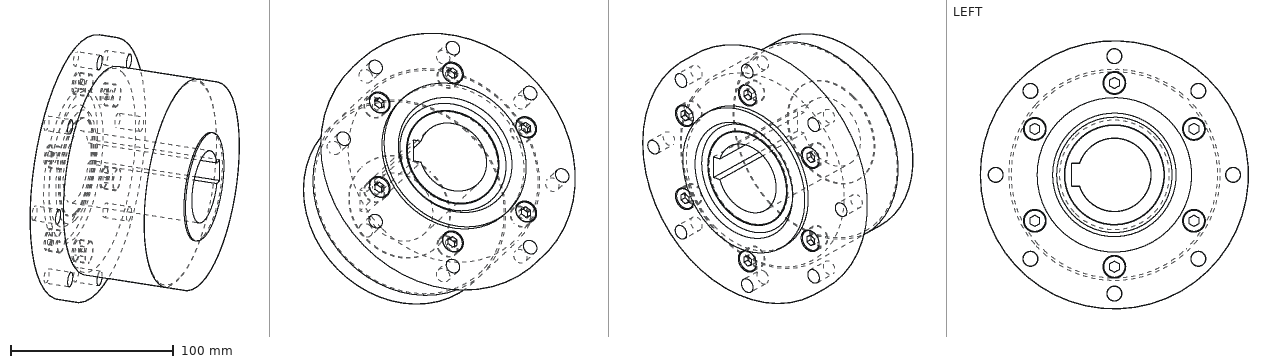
import cadquery as cq
import math

overall_length = 88.0
flange_front = 3.5
flange_back = 19.0
joint_plane = 72.0
body_back = 87.0

pilot_diameter = 95.0
flange_diameter = 165.0
body_diameter = 130.0
rear_collar_diameter = 67.5

flange_fillet = 2.0
body_fillet = 1.5

recess_mouth_diameter = 76.0
recess_floor_diameter = 71.0
recess_depth = 3.5

race_diameter = 61.0
race_clearance = 0.3
race_groove_depth = 1.0

bore_diameter = 45.0
keyway_width = 14.0
keyway_height = 48.8

mounting_hole_count = 8
mounting_hole_diameter = 9.0
mounting_circle_diameter = 146.0

screw_count = 6
screw_circle_diameter = 113.0
counterbore_diameter = 14.0
screw_head_diameter = 13.0
screw_head_height = 8.0
screw_head_recess = 0.6
socket_across_flats = 6.0
socket_sides = 6
socket_depth = 4.0


def extend_rounded_ring(profile, x_start, x_end, diameter, fillet_radius):
    """Continue a half profile of (station, radius) points over a ring with both rims rounded.

    The profile must already stand at the foot of the first rounding.
    """
    radius = diameter / 2
    arc_sag = fillet_radius * (1 - math.sqrt(0.5))
    return (
        profile.threePointArc((x_start + arc_sag, radius - arc_sag), (x_start + fillet_radius, radius))
        .lineTo(x_end - fillet_radius, radius)
        .threePointArc((x_end - arc_sag, radius - arc_sag), (x_end, radius - fillet_radius))
    )


def circle_pattern(x_position, circle_diameter, count):
    """Points spaced evenly on a circle about the shaft axis, the first one at the top (+Z)."""
    plane = cq.Workplane("YZ", origin=(x_position, 0, 0))
    return plane.polarArray(circle_diameter / 2, 90, 360, count, rotate=True)


def make_body():
    """Turned shape: recessed pilot, flange, two body rings, rear collar and bore."""
    profile = (
        cq.Workplane("XY")
        .moveTo(recess_depth, bore_diameter / 2)
        .lineTo(recess_depth, race_diameter / 2)
        .lineTo(recess_depth + race_groove_depth, race_diameter / 2)
        .lineTo(recess_depth + race_groove_depth, race_diameter / 2 + race_clearance)
        .lineTo(recess_depth, race_diameter / 2 + race_clearance)
        .lineTo(recess_depth, recess_floor_diameter / 2)
        .lineTo(0, recess_mouth_diameter / 2)
        .lineTo(0, pilot_diameter / 2)
        .lineTo(flange_front, pilot_diameter / 2)
        .lineTo(flange_front, flange_diameter / 2 - flange_fillet)
    )
    profile = extend_rounded_ring(profile, flange_front, flange_back, flange_diameter, flange_fillet)
    profile = profile.lineTo(flange_back, body_diameter / 2 - body_fillet)
    profile = extend_rounded_ring(profile, flange_back, joint_plane, body_diameter, body_fillet)
    profile = extend_rounded_ring(profile, joint_plane, body_back, body_diameter, body_fillet)
    profile = (
        profile.lineTo(body_back, rear_collar_diameter / 2)
        .lineTo(overall_length, rear_collar_diameter / 2)
        .lineTo(overall_length, bore_diameter / 2)
        .close()
    )
    return profile.revolve(360, (0, 0, 0), (1, 0, 0))


def make_keyway():
    """Keyway along the whole bore, on its +Y side."""
    keyway_floor = keyway_height - bore_diameter / 2
    return (
        cq.Workplane("YZ")
        .center(keyway_floor / 2, 0)
        .rect(keyway_floor, keyway_width)
        .extrude(overall_length)
    )


def make_mounting_holes():
    """Plain holes through the flange."""
    points = circle_pattern(flange_front, mounting_circle_diameter, mounting_hole_count)
    return points.circle(mounting_hole_diameter / 2).extrude(flange_back - flange_front)


def make_screw_cuts():
    """Counterbores left partly filled by the screw heads, and the hexagon sockets in the heads."""
    head_face = flange_front + screw_head_recess
    counterbores = (
        circle_pattern(flange_front, screw_circle_diameter, screw_count)
        .circle(counterbore_diameter / 2)
        .extrude(screw_head_recess + screw_head_height)
    )
    heads = (
        circle_pattern(head_face, screw_circle_diameter, screw_count)
        .circle(screw_head_diameter / 2)
        .extrude(screw_head_height)
    )
    socket_across_corners = socket_across_flats / math.cos(math.pi / socket_sides)
    sockets = (
        circle_pattern(head_face, screw_circle_diameter, screw_count)
        .polygon(socket_sides, socket_across_corners)
        .extrude(socket_depth)
    )
    return counterbores.cut(heads).union(sockets)


result = (
    make_body()
    .cut(make_keyway())
    .cut(make_mounting_holes())
    .cut(make_screw_cuts())
)